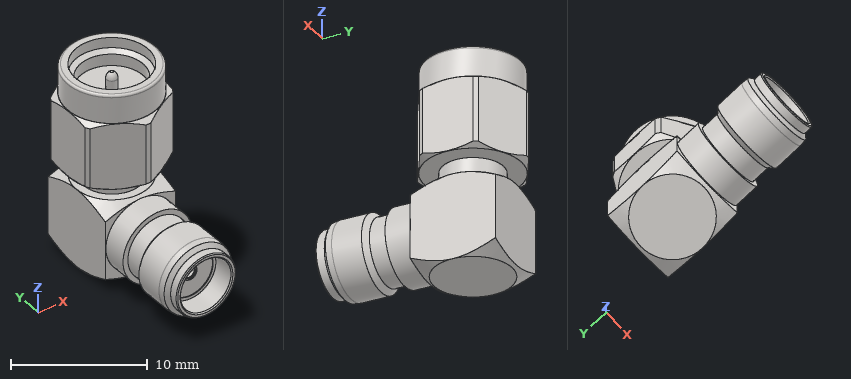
import cadquery as cq
import math

CHAMFER_SLOPE = math.tan(math.radians(30))

nut_across_flats = 8.0
nut_corner_radius = 4.5
nut_bottom = 8.55
nut_hex_top = 14.51
nut_face_radius = 3.97
plug_top = 17.05
plug_radius = 3.95
plug_rim_round = 0.2

cavity_mouth_radius = 3.2
cavity_taper_depth = 0.92
cavity_floor_radius = 2.78
cavity_taper_end_depth = 1.2
cavity_depth = 2.23

pin_radius = 0.46
pin_tip_radius = 0.14
pin_dome_mid_radius = 0.35
pin_dome_mid_height = 0.32
pin_dome_height = 0.55
pin_shoulder_depth = 1.28

overlap = 0.17

neck_radius = 2.5

elbow_width = 6.41
elbow_length = 7.02
elbow_height = 7.02
elbow_face_radius = elbow_width / 2

jack_axis_z = 3.7
jack_end = 11.6
jack_radius = 3.15
jack_neck_radius = 2.71
jack_lead_radius = 3.09
collar_end = 5.61
thread_taper_start = 7.13
thread_start = 7.55
thread_end = 10.0
lead_end = 10.55
lead_taper_end = 10.85
jack_rim_chamfer = 0.09

bore_radius = 2.3
bore_depth = 1.95
bore_chamfer = 0.1
insulator_radius = 2.05
insulator_recess = 0.07
socket_radius = 0.63
socket_recess = 0.07
socket_hole_radius = 0.48
socket_hole_chamfer = 0.05
socket_hole_depth = 1.02


def turn(profile):
    """Revolve a closed (radius, height) profile about the Z axis."""
    return cq.Workplane("XZ").polyline(profile).close().revolve(360, (0, 0), (0, 1))


def turned_blank(radius, face_radius, bottom, top):
    """Cylinder with 30 degree cones at both ends, running in to face_radius."""
    drop = (radius - face_radius) * CHAMFER_SLOPE
    return turn([
        (0, bottom), (face_radius, bottom), (radius, bottom + drop),
        (radius, top - drop), (face_radius, top), (0, top),
    ])


def make_elbow():
    block = cq.Workplane("XY").box(elbow_width, elbow_length, elbow_height, centered=(True, True, False))
    corner_radius = math.hypot(elbow_width, elbow_length) / 2
    return block.intersect(turned_blank(corner_radius, elbow_face_radius, 0, elbow_height))


def make_nut():
    hex_diameter = nut_across_flats / math.cos(math.radians(30))
    hexagon = (
        cq.Workplane("XY").workplane(offset=nut_bottom)
        .polygon(6, hex_diameter).extrude(nut_hex_top - nut_bottom)
        .rotate((0, 0, 0), (0, 0, 1), 30)
    )
    hexagon = hexagon.intersect(turned_blank(nut_corner_radius, nut_face_radius, nut_bottom, nut_hex_top))
    barrel = (
        cq.Workplane("XY").workplane(offset=nut_bottom)
        .circle(plug_radius).extrude(plug_top - nut_bottom)
        .faces(">Z").edges().fillet(plug_rim_round)
    )
    return hexagon.union(barrel)


def make_plug_cavity():
    floor = plug_top - cavity_depth
    return turn([
        (0, floor), (cavity_floor_radius, floor),
        (cavity_floor_radius, plug_top - cavity_taper_end_depth),
        (cavity_mouth_radius, plug_top - cavity_taper_depth),
        (cavity_mouth_radius, plug_top), (0, plug_top),
    ])


def make_pin():
    base = plug_top - cavity_depth - overlap
    shoulder = plug_top - pin_shoulder_depth
    tip = shoulder + pin_dome_height
    return (
        cq.Workplane("XZ").moveTo(0, base).lineTo(pin_radius, base).lineTo(pin_radius, shoulder)
        .threePointArc((pin_dome_mid_radius, shoulder + pin_dome_mid_height), (pin_tip_radius, tip))
        .lineTo(0, tip).close().revolve(360, (0, 0), (0, 1))
    )


def make_neck():
    return (
        cq.Workplane("XY").workplane(offset=elbow_height / 2)
        .circle(neck_radius).extrude(nut_bottom + overlap - elbow_height / 2)
    )


def place_on_jack_axis(solid):
    """Turn a solid from the Z axis onto the jack axis, +Z becoming -Y."""
    return solid.rotate((0, 0, 0), (1, 0, 0), 90).translate((0, 0, jack_axis_z))


def make_jack():
    return place_on_jack_axis(turn([
        (0, 0), (jack_radius, 0), (jack_radius, collar_end),
        (jack_neck_radius, collar_end), (jack_neck_radius, thread_taper_start),
        (jack_radius, thread_start), (jack_radius, thread_end),
        (jack_lead_radius, lead_end), (jack_neck_radius, lead_taper_end),
        (jack_neck_radius, jack_end - jack_rim_chamfer),
        (jack_neck_radius - jack_rim_chamfer, jack_end), (0, jack_end),
    ]))


def make_jack_cavity():
    bore_floor = jack_end - bore_depth
    insulator_face = bore_floor - insulator_recess
    socket_face = insulator_face - socket_recess
    hole_floor = socket_face - socket_hole_depth
    return place_on_jack_axis(turn([
        (0, hole_floor), (socket_hole_radius, hole_floor),
        (socket_hole_radius, socket_face - socket_hole_chamfer),
        (socket_hole_radius + socket_hole_chamfer, socket_face), (socket_radius, socket_face),
        (socket_radius, insulator_face), (insulator_radius, insulator_face),
        (insulator_radius, bore_floor), (bore_radius, bore_floor),
        (bore_radius, jack_end - bore_chamfer),
        (bore_radius + bore_chamfer, jack_end), (0, jack_end),
    ]))


result = (
    make_elbow()
    .union(make_neck())
    .union(make_nut())
    .cut(make_plug_cavity())
    .union(make_pin())
    .union(make_jack())
    .cut(make_jack_cavity())
)